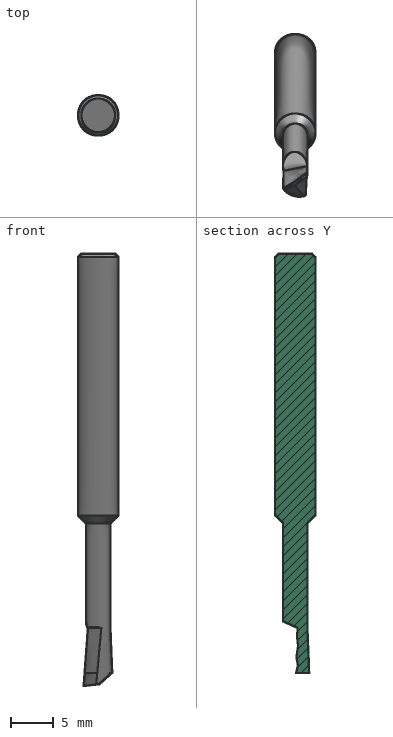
import cadquery as cq
import math

total_length = 50.8
shank_radius = 2.4
shank_bottom = 20.05
shank_chamfer = 0.4
neck_radius = 1.45
neck_top = shank_bottom - (shank_radius - neck_radius)

blade_top = 6.8
land_top = 1.5
tip_radius = 1.75
tip_x = -1.75

rake_edge_top_y = -0.75
rake_edge_bottom_y = -0.1
heel_x_top = 0.35
heel_x_bottom = -0.25
back_y_top = 0.55
back_y_bottom = 0.15

relief_length = 10.15
flank_relief_slope = 0.5
corner_chamfer_top = 1.7
corner_chamfer_x = 0.1
end_rise = 0.2


def circle_coordinate(radius, other):
    """Positive second coordinate of a point on a circle about the axis."""
    return math.sqrt(radius**2 - other**2)


def blade_corners(z):
    """Radius, rake edge, heel and back corner of the tapering blade at height z."""
    share = z / blade_top

    def taper(bottom, top):
        return bottom + (top - bottom) * share

    radius = taper(tip_radius, neck_radius)
    rake_y = taper(rake_edge_bottom_y, rake_edge_top_y)
    rake_x = taper(tip_x, -circle_coordinate(neck_radius, rake_edge_top_y))
    heel_x = taper(heel_x_bottom, heel_x_top)
    back_y = taper(back_y_bottom, back_y_top)
    heel = (heel_x, -circle_coordinate(radius, heel_x))
    back = (circle_coordinate(radius, back_y), back_y)
    return radius, (rake_x, rake_y), heel, back


def section_wire(z, flat_rake=False):
    """Blade section: straight flank, round back and straight rake face."""
    radius, rake, heel, back = blade_corners(z)
    if flat_rake:
        rake = (rake[0], 0)
        back = (radius, 0)
    middle_angle = (math.atan2(heel[1], heel[0]) + math.atan2(back[1], back[0])) / 2
    middle = (radius * math.cos(middle_angle), radius * math.sin(middle_angle))
    outline = cq.Workplane("XY", origin=(0, 0, z)).moveTo(*rake).lineTo(*heel)
    return outline.threePointArc(middle, back).close().val()


def ramp_cutter(start, end, slope):
    """Wedge rising outward from the chord start-end, to the left of its direction."""
    plane = cq.Plane(origin=(start[0], start[1], blade_top),
                     xDir=(start[1] - end[1], end[0] - start[0], 0),
                     normal=(end[0] - start[0], end[1] - start[1], 0))
    profile = [(0, 0), (relief_length, slope * relief_length), (relief_length, 0)]
    wedge = cq.Workplane(plane).polyline(profile).close()
    return wedge.extrude(relief_length, both=True)


def make_shank_and_neck():
    profile = [
        (0, blade_top),
        (neck_radius, blade_top),
        (neck_radius, neck_top),
        (shank_radius, shank_bottom),
        (shank_radius, total_length - shank_chamfer),
        (shank_radius - shank_chamfer, total_length),
        (0, total_length),
    ]
    body = cq.Workplane("XZ").polyline(profile).close().revolve(360, (0, 0), (0, 1))
    _, rake, heel, back = blade_corners(blade_top)
    body = body.cut(ramp_cutter(rake, back, 1))
    return body.cut(ramp_cutter(heel, rake, flank_relief_slope))


def make_blade():
    upper = cq.Solid.makeLoft([section_wire(land_top), section_wire(blade_top)], True)
    land = cq.Solid.makeLoft([section_wire(0, True), section_wire(land_top, True)], True)
    return cq.Workplane(upper).union(cq.Workplane(land))


def make_corner_chamfer():
    """Slanted cut below the +X side of the tip."""
    profile = [
        (corner_chamfer_x, end_rise),
        (tip_radius, corner_chamfer_top),
        (shank_radius, corner_chamfer_top),
        (shank_radius, -end_rise),
        (tip_x, -end_rise),
        (tip_x, 0),
    ]
    return cq.Workplane("XZ").polyline(profile).close().extrude(shank_radius, both=True)


def make_end_relief():
    """Clearance below the tip, rising toward -Y."""
    profile = [(0, 0), (-shank_radius, end_rise), (-shank_radius, -end_rise), (0, -end_rise)]
    return cq.Workplane("YZ").polyline(profile).close().extrude(shank_radius, both=True)


blade = make_blade().cut(make_corner_chamfer()).cut(make_end_relief())
result = make_shank_and_neck().union(blade)